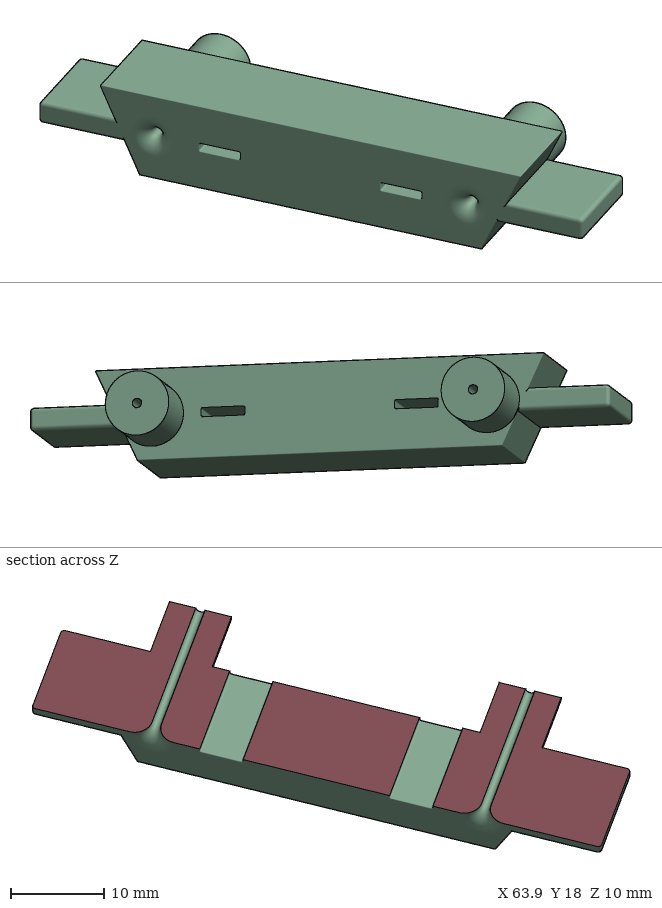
import cadquery as cq
import math

body_height = 10.0
body_depth = 11.0
top_width = 49.5
dovetail_angle = 25.0
bottom_width = top_width - 2 * body_height * math.tan(math.radians(dovetail_angle))
body_edge_radius = 0.1

slot_spacing = 21.3
slot_length = 4.8
slot_height = 1.0
slot_corner_radius = 0.2
rim_tolerance = 0.01

tab_span = 63.88
tab_thickness = 2.5
tab_edge_radius = 0.45

peg_spacing = 37.0
peg_diameter = 7.0
peg_length = 7.0
bore_diameter = 1.0
flare_radius = 2.0


def make_slot(x):
    slot = cq.Workplane("XY").box(slot_length, body_depth, slot_height)
    return slot.edges("|Y").fillet(slot_corner_radius).translate((x, body_depth / 2, 0))


def make_body():
    """Trapezoid block with all its outer edges rounded."""
    outline = [
        (-bottom_width / 2, -body_height / 2),
        (bottom_width / 2, -body_height / 2),
        (top_width / 2, body_height / 2),
        (-top_width / 2, body_height / 2),
    ]
    body = cq.Workplane("XZ").polyline(outline).close().extrude(-body_depth)
    return body.edges().fillet(body_edge_radius)


def make_tab_bar():
    bar = cq.Workplane("XY").box(tab_span, body_depth, tab_thickness)
    return bar.translate((0, body_depth / 2, 0)).edges().fillet(tab_edge_radius)


def make_peg(x):
    rear_face = cq.Workplane("XZ", origin=(0, body_depth, 0))
    return rear_face.center(x, 0).circle(peg_diameter / 2).extrude(-peg_length)


def make_flared_bore(x):
    """Through bore whose front mouth is rounded outwards like a trumpet."""
    bore_radius = bore_diameter / 2
    mouth_radius = bore_radius + flare_radius
    arc_offset = flare_radius * math.sqrt(0.5)
    arc_middle = (mouth_radius - arc_offset, flare_radius - arc_offset)
    profile = (
        cq.Workplane("XY")
        .lineTo(mouth_radius, 0)
        .threePointArc(arc_middle, (bore_radius, flare_radius))
        .lineTo(bore_radius, body_depth + peg_length)
        .lineTo(0, body_depth + peg_length)
        .close()
    )
    return profile.revolve(360, (0, 0, 0), (0, 1, 0)).translate((x, 0, 0))


def round_slot_mouth(part, x):
    """Round the front rim of the slot centred at x."""
    rim = cq.selectors.BoxSelector(
        (x - slot_length, -rim_tolerance, -slot_height),
        (x + slot_length, rim_tolerance, slot_height),
    )
    return part.edges(rim).fillet(body_edge_radius)


result = make_body().union(make_tab_bar())
for side in (-1, 1):
    peg_x = side * peg_spacing / 2
    slot_x = side * slot_spacing / 2
    result = result.union(make_peg(peg_x))
    result = result.cut(make_flared_bore(peg_x))
    result = result.cut(make_slot(slot_x))
    result = round_slot_mouth(result, slot_x)